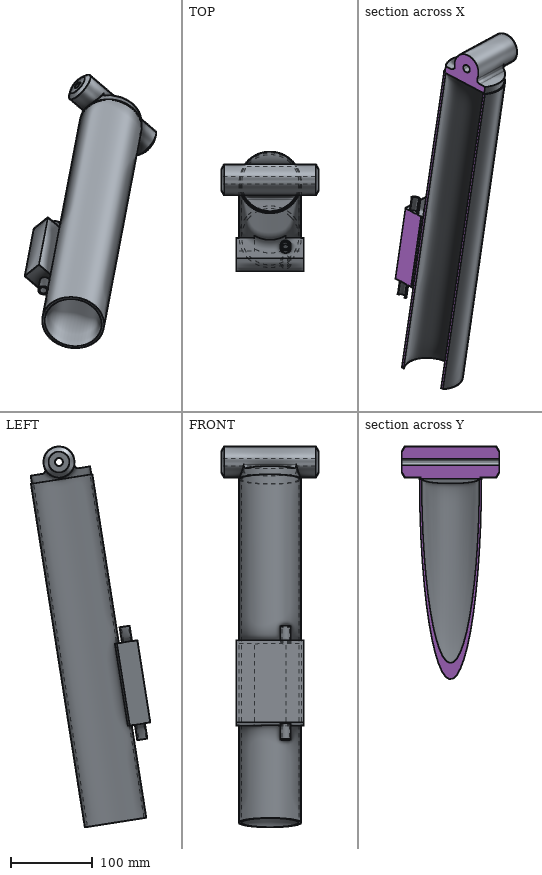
import cadquery as cq
import math

lean_angle = -8.92

tube_diameter = 76.2
tube_bore = 69.85
tube_bottom = -434.4
cap_diameter = 73.66
cap_height = 10.0

pivot_diameter = 38.1
pivot_length = 119.38
pivot_bore = 9.4
pivot_end_diameter = 25.4
pivot_chamfer_angle = 30.0
pivot_height = 11.05
saddle_radius = 4.4

block_width = 82.55
block_height = 101.6
block_thickness = 25.4
block_front = -60.96
block_top = -218.6
block_bottom = block_top - block_height
block_back = block_front + block_thickness
pad_width = 38.1
pad_thickness = 2.54

port_diameter = 12.7
port_bore = 8.89
port_length = 19.05
port_x = 19.05
port_y = -48.0

pivot_radius = pivot_diameter / 2


def upright_cylinder(diameter, bottom, top, x=0.0, y=0.0):
    return cq.Workplane("XY", origin=(x, y, bottom)).circle(diameter / 2).extrude(top - bottom)


def make_pivot_bore():
    start = (-pivot_length / 2, 0, pivot_height)
    return cq.Workplane("YZ", origin=start).circle(pivot_bore / 2).extrude(pivot_length)


def front_plate(width, front, back):
    """Plate as tall as the block, centred on the tube in X."""
    corner = (-width / 2, front, block_bottom)
    return cq.Workplane("XY").box(width, back - front, block_height, centered=False).translate(corner)


def make_tube():
    tube = upright_cylinder(tube_diameter, tube_bottom, -cap_height)
    cap = upright_cylinder(cap_diameter, -cap_height, 0)
    return tube.union(cap)


def make_pivot():
    """Cylinder with both ends chamfered down to a smaller flat face."""
    chamfer_depth = (pivot_diameter - pivot_end_diameter) / 2
    chamfer_length = chamfer_depth * math.tan(math.radians(pivot_chamfer_angle))
    profile = (
        cq.Workplane("XY")
        .moveTo(-pivot_length / 2, 0)
        .lineTo(-pivot_length / 2, pivot_end_diameter / 2)
        .lineTo(-pivot_length / 2 + chamfer_length, pivot_radius)
        .lineTo(pivot_length / 2 - chamfer_length, pivot_radius)
        .lineTo(pivot_length / 2, pivot_end_diameter / 2)
        .lineTo(pivot_length / 2, 0)
        .close()
    )
    return profile.revolve(360, (0, 0, 0), (1, 0, 0)).translate((0, 0, pivot_height))


def make_saddle():
    """Concave blend from the cap's flat top up into the pivot cylinder, trimmed to the cap's outline."""
    centre_distance = pivot_radius + saddle_radius
    blend_reach = math.sqrt(centre_distance**2 - (pivot_height - saddle_radius) ** 2)
    pivot_share = pivot_radius / centre_distance
    contact_y = blend_reach * pivot_share
    contact_z = pivot_height + (saddle_radius - pivot_height) * pivot_share
    contact_angle = math.atan2(contact_z - saddle_radius, contact_y - blend_reach) % math.tau
    straight_down = 1.5 * math.pi
    middle_angle = (contact_angle + straight_down) / 2
    middle_y = blend_reach + saddle_radius * math.cos(middle_angle)
    middle_z = saddle_radius + saddle_radius * math.sin(middle_angle)
    profile = (
        cq.Workplane("YZ", origin=(-cap_diameter / 2, 0, 0))
        .moveTo(-blend_reach, -cap_height)
        .lineTo(blend_reach, -cap_height)
        .lineTo(blend_reach, 0)
        .threePointArc((middle_y, middle_z), (contact_y, contact_z))
        .lineTo(-contact_y, contact_z)
        .threePointArc((-middle_y, middle_z), (-blend_reach, 0))
        .close()
    )
    return profile.extrude(cap_diameter).intersect(upright_cylinder(cap_diameter, -cap_height, pivot_height))


def make_block():
    block = front_plate(block_width, block_front, block_back)
    pad = front_plate(pad_width, block_front, block_back + pad_thickness)
    block = block.union(pad)
    for bottom, top in (
        (block_top, block_top + port_length),
        (block_bottom - port_length, block_bottom),
    ):
        stub = upright_cylinder(port_diameter, bottom, top, port_x, port_y)
        bore = upright_cylinder(port_bore, bottom, top, port_x, port_y)
        block = block.union(stub.cut(bore))
    return block


part = make_tube().union(make_saddle()).union(make_pivot()).union(make_block())
part = part.cut(upright_cylinder(tube_bore, tube_bottom, -cap_height))
part = part.cut(make_pivot_bore())

result = part.rotate((0, 0, 0), (1, 0, 0), lean_angle)